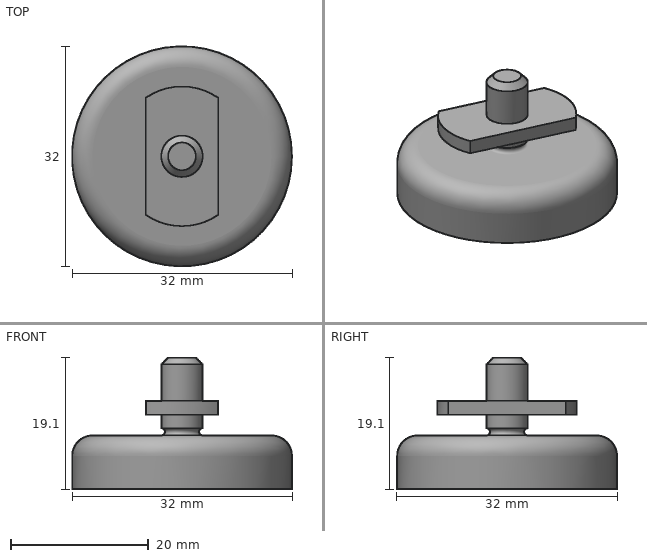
import cadquery as cq

foot_diameter = 32.0
foot_height = 7.8
foot_edge_radius = 3.0
stud_diameter = 6.0
stud_chamfer = 1.0
neck_diameter = 5.0
total_height = 19.1

plate_width = 10.5
plate_length = 20.3
plate_side_length = 17.02
plate_thickness = 2.0
plate_bottom = 10.8

foot_radius = foot_diameter / 2
stud_radius = stud_diameter / 2
neck_radius = neck_diameter / 2
groove_radius = stud_radius - neck_radius
groove_middle = foot_height + groove_radius
groove_top = groove_middle + groove_radius


def make_foot():
    """Disc with a rounded top edge and a chamfered stud above a half-round neck."""
    disc = cq.Workplane("XY").circle(foot_radius).extrude(foot_height)
    disc = disc.faces(">Z").edges().fillet(foot_edge_radius)

    stud = (
        cq.Workplane("XZ")
        .moveTo(0, foot_height)
        .lineTo(stud_radius, foot_height)
        .threePointArc((neck_radius, groove_middle), (stud_radius, groove_top))
        .lineTo(stud_radius, total_height - stud_chamfer)
        .lineTo(stud_radius - stud_chamfer, total_height)
        .lineTo(0, total_height)
        .close()
        .revolve(360, (0, 0, 0), (0, 1, 0))
    )
    return disc.union(stud)


def make_plate():
    """Plate with straight long sides, bowed ends and a hole that fits the stud."""
    half_width = plate_width / 2
    half_length = plate_length / 2
    half_side = plate_side_length / 2
    return (
        cq.Workplane("XY")
        .workplane(offset=plate_bottom)
        .moveTo(half_width, -half_side)
        .lineTo(half_width, half_side)
        .threePointArc((0, half_length), (-half_width, half_side))
        .lineTo(-half_width, -half_side)
        .threePointArc((0, -half_length), (half_width, -half_side))
        .close()
        .circle(stud_radius)
        .extrude(plate_thickness)
    )


foot = make_foot()
plate = make_plate()
result = cq.Compound.makeCompound([foot.solids().val(), plate.val()])